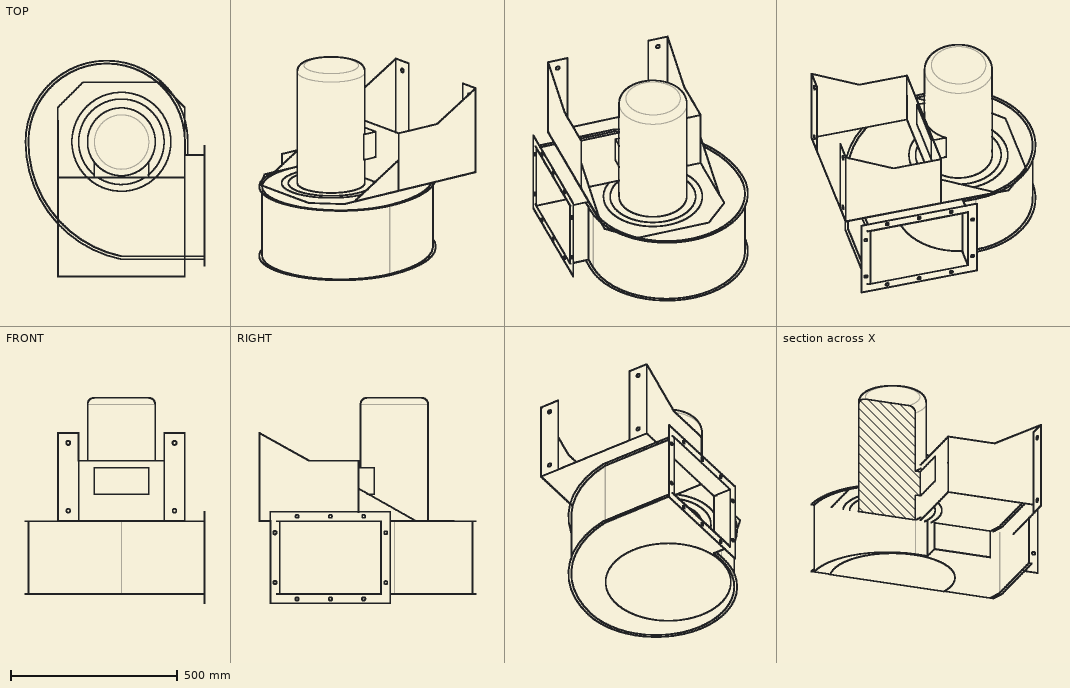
import cadquery as cq
import math

SHEET = 1.0

UPPER_RADIUS = 244.0
LOWER_RADIUS = 360.0
SCROLL_LEFT = -288.0
UPPER_CENTER_X = SCROLL_LEFT + UPPER_RADIUS
LOWER_CENTER_X = SCROLL_LEFT + LOWER_RADIUS
LIP = 8.5
HOUSING_HEIGHT = 219.5
OUTLET_X = 250.0
OUTLET_TOP_Y = -39.5
MOTOR_OPENING_RADIUS = 148.5

FLANGE_WIDTH = 360.0
FLANGE_HEIGHT = 275.0
FLANGE_HOLE_DIAMETER = 10.0
FLANGE_HOLE_INSET = 13.5
FLANGE_PITCH_Y = 100.0
FLANGE_PITCH_Z = 150.0

MOTOR_RADIUS = 102.0
MOTOR_TOP = 370.5
MOTOR_ROUND = 20.0
MOTOR_FLANGE_RADIUS = 128.5
BOX_WIDTH = 163.5
BOX_BOTTOM = 80.5
BOX_TOP = 160.0

BRACKET_WIDTH = 381.5
BRACKET_BACK_Y = 179.0
BRACKET_FRONT_Y = -405.0
CORNER_CUT = 76.0
WALL_Y = -108.0
WALL_HEIGHT = 182.0
SLOPE_START_Y = -255.5
SIDE_HEIGHT = 265.0
GUSSET_HEIGHT = 98.0
GUSSET_END_Y = 65.5
TAB_WIDTH = 62.0
TAB_HOLE_DIAMETER = 12.0
TAB_HOLE_HEIGHTS = (31.0, 235.0)

INLET_DISC_RADIUS = 188.0


def scroll_bottom(inset):
    """Y of the straight lower edge, where the lower arc crosses X = 0."""
    return -math.sqrt((LOWER_RADIUS - inset) ** 2 - LOWER_CENTER_X**2)


def scroll_prism(inset, outlet_inset, bottom, top):
    """Scroll shape moved inwards by inset (by outlet_inset at the upper outlet wall)."""
    upper = UPPER_RADIUS - inset
    lower = LOWER_RADIUS - inset
    edge_y = scroll_bottom(inset)
    outlet_y = OUTLET_TOP_Y - outlet_inset
    half_sweep = math.asin(-edge_y / lower) / 2
    lower_middle = (LOWER_CENTER_X - lower * math.cos(half_sweep), -lower * math.sin(half_sweep))
    return (
        cq.Workplane("XY", origin=(0, 0, bottom))
        .moveTo(OUTLET_X, edge_y)
        .lineTo(0, edge_y)
        .threePointArc(lower_middle, (SCROLL_LEFT + inset, 0))
        .threePointArc((UPPER_CENTER_X, upper), (UPPER_CENTER_X + upper, 0))
        .lineTo(UPPER_CENTER_X + upper, outlet_y)
        .lineTo(OUTLET_X, outlet_y)
        .close()
        .extrude(top - bottom)
    )


def make_outlet_flange():
    center_y = (OUTLET_TOP_Y + scroll_bottom(LIP)) / 2
    row_z = FLANGE_HEIGHT / 2 - FLANGE_HOLE_INSET
    column_y = FLANGE_WIDTH / 2 - FLANGE_HOLE_INSET
    rows = [(i * FLANGE_PITCH_Y, side * row_z) for i in (-1, 0, 1) for side in (-1, 1)]
    columns = [(side * column_y, i * FLANGE_PITCH_Z / 2) for i in (-1, 1) for side in (-1, 1)]
    return (
        cq.Workplane("YZ", origin=(OUTLET_X - SHEET, center_y, -HOUSING_HEIGHT / 2))
        .rect(FLANGE_WIDTH, FLANGE_HEIGHT)
        .extrude(SHEET)
        .faces(">X")
        .workplane(origin=(OUTLET_X, center_y, -HOUSING_HEIGHT / 2))
        .pushPoints(rows + columns)
        .hole(FLANGE_HOLE_DIAMETER)
    )


def make_housing():
    """Hollow scroll: two cover plates, the wall between them and the open outlet flange."""
    top_plate = scroll_prism(0, 0, -SHEET, 0)
    bottom_plate = scroll_prism(0, 0, -HOUSING_HEIGHT, SHEET - HOUSING_HEIGHT)
    wall = scroll_prism(LIP, 0, SHEET - HOUSING_HEIGHT, -SHEET)
    inside = scroll_prism(LIP + SHEET, SHEET, SHEET - HOUSING_HEIGHT, -SHEET)
    motor_opening = cq.Workplane("XY").circle(MOTOR_OPENING_RADIUS).extrude(-SHEET)
    shell = wall.union(top_plate).union(bottom_plate).union(make_outlet_flange())
    return shell.cut(inside).cut(motor_opening)


def make_motor():
    """Round motor with a terminal box against the cross wall and a flange under the bracket floor."""
    body = cq.Workplane("XY").circle(MOTOR_RADIUS).extrude(MOTOR_TOP).faces(">Z").edges().fillet(MOTOR_ROUND)
    flange = cq.Workplane("XY").circle(MOTOR_FLANGE_RADIUS).extrude(-SHEET)
    box_back = WALL_Y + SHEET
    terminal_box = (
        cq.Workplane("XY", origin=(0, box_back / 2, BOX_BOTTOM))
        .rect(BOX_WIDTH, -box_back)
        .extrude(BOX_TOP - BOX_BOTTOM)
    )
    return body.union(flange).union(terminal_box)


def make_bracket_side(outer_x):
    """Side wall with a gusset behind the cross wall; outer_x is its -X face."""
    return (
        cq.Workplane("YZ", origin=(outer_x, 0, 0))
        .polyline(
            [
                (BRACKET_FRONT_Y, 0),
                (GUSSET_END_Y, 0),
                (WALL_Y, GUSSET_HEIGHT),
                (WALL_Y, WALL_HEIGHT),
                (SLOPE_START_Y, WALL_HEIGHT),
                (BRACKET_FRONT_Y, SIDE_HEIGHT),
            ]
        )
        .close()
        .extrude(SHEET)
    )


def make_bracket_tab(center_x):
    """Front mounting tab with two bolt holes."""
    return (
        cq.Workplane("XZ", origin=(center_x, BRACKET_FRONT_Y + SHEET, SIDE_HEIGHT / 2))
        .rect(TAB_WIDTH, SIDE_HEIGHT)
        .extrude(SHEET)
        .faces("<Y")
        .workplane(origin=(center_x, BRACKET_FRONT_Y, 0))
        .pushPoints([(0, height) for height in TAB_HOLE_HEIGHTS])
        .hole(TAB_HOLE_DIAMETER)
    )


def make_bracket():
    """Folded sheet bracket: floor, cross wall, two sides and two front tabs."""
    half = BRACKET_WIDTH / 2
    floor = (
        cq.Workplane("XY")
        .rect(BRACKET_WIDTH, BRACKET_BACK_Y - BRACKET_FRONT_Y)
        .extrude(SHEET)
        .translate((0, (BRACKET_BACK_Y + BRACKET_FRONT_Y) / 2, 0))
        .edges("|Z and >Y")
        .chamfer(CORNER_CUT)
    )
    cross_wall = (
        cq.Workplane("XY", origin=(0, WALL_Y + SHEET / 2, 0)).rect(BRACKET_WIDTH, SHEET).extrude(WALL_HEIGHT)
    )
    bracket = floor.union(cross_wall)
    for outer_x in (-half, half - SHEET):
        bracket = bracket.union(make_bracket_side(outer_x))
    for side in (-1, 1):
        bracket = bracket.union(make_bracket_tab(side * (half - TAB_WIDTH / 2)))
    motor_hole = cq.Workplane("XY").circle(MOTOR_RADIUS).extrude(SHEET)
    return bracket.cut(motor_hole)


def make_inlet_disc():
    """Flat disc under the bottom cover plate, centred on the motor axis."""
    return cq.Workplane("XY", origin=(0, 0, -HOUSING_HEIGHT)).circle(INLET_DISC_RADIUS).extrude(-SHEET)


housing = make_housing()
motor = make_motor()
bracket = make_bracket()
inlet_disc = make_inlet_disc()

result = cq.Compound.makeCompound([housing.val(), motor.val(), bracket.val(), inlet_disc.val()])